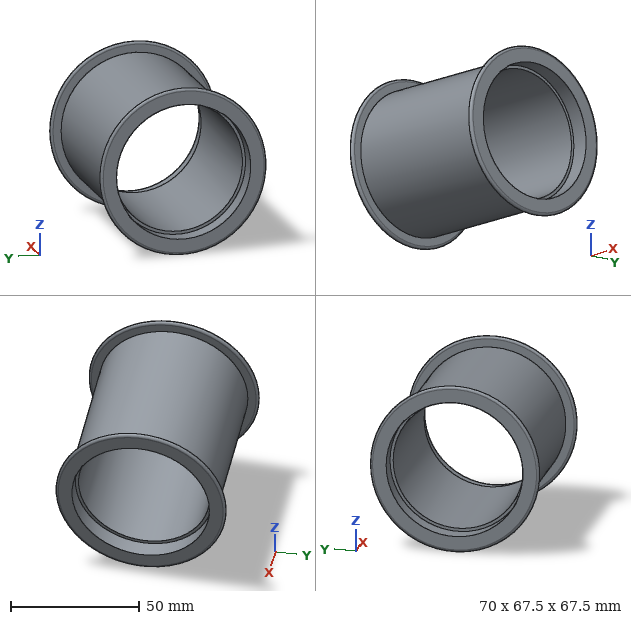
import cadquery as cq

length = 70.0
flange_diameter = 67.5
flange_thickness = 2.0
tube_diameter = 58.9
bore_diameter = 52.0
counterbore_diameter = 54.5
counterbore_depth = 7.0


def cylinder_along_x(diameter, start, width):
    """Solid cylinder on the X axis, from start to start + width."""
    return cq.Workplane("YZ").workplane(offset=start).circle(diameter / 2).extrude(width)


def flange(start):
    """Disc around the X axis with a fully rounded rim."""
    end = start + flange_thickness
    rim_tip = flange_diameter / 2
    rim_start = rim_tip - flange_thickness / 2
    return (
        cq.Workplane("XY")
        .moveTo(start, 0)
        .lineTo(start, rim_start)
        .threePointArc(((start + end) / 2, rim_tip), (end, rim_start))
        .lineTo(end, 0)
        .close()
        .revolve(360, (0, 0, 0), (1, 0, 0))
    )


left_end = -length / 2
right_end = length / 2

body = cylinder_along_x(tube_diameter, left_end, length)
for flange_start in (left_end, right_end - flange_thickness):
    body = body.union(flange(flange_start))

body = body.cut(cylinder_along_x(bore_diameter, left_end, length))
for seat_start in (left_end, right_end - counterbore_depth):
    body = body.cut(cylinder_along_x(counterbore_diameter, seat_start, counterbore_depth))

result = body